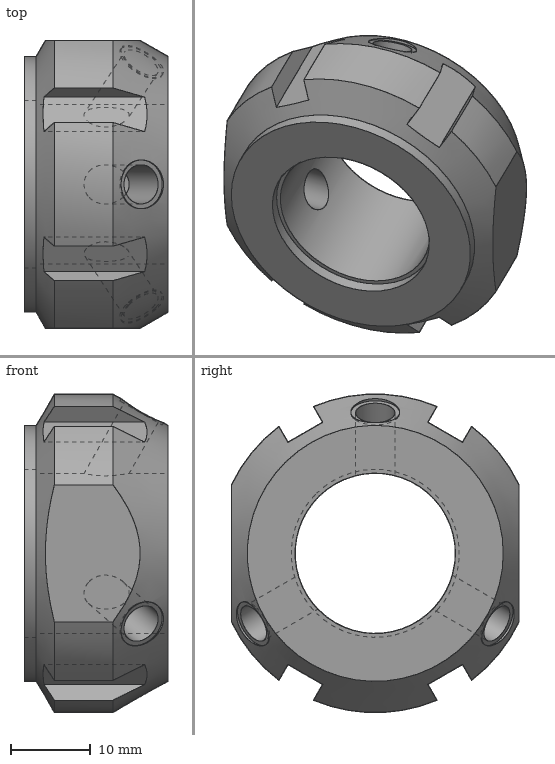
import cadquery as cq
import math

width = 18.0
collar_width = 1.48
rim_start = 3.75
rim_end = 11.1

outer_radius = 19.95
collar_radius = 32.0 / 2
flat_distance = 36.0

bore_diameter = 20.0
recess_diameter = 21.0
recess_depth = 1.48

slot_width = 5.0
slot_floor_radius = 17.5
slot_angles = (-30, 30, 150, 210)

screw_diameter = 4.9
screw_recess_diameter = 6.1
screw_recess_depth = 0.3
screw_x = 14.75
screw_count = 3
screw_length = 15.95

clearance = 4.0


def turned_body():
    """Revolve the collar, front cone, rim and rear cone about X."""
    return (
        cq.Workplane("XY")
        .polyline([
            (0, 0),
            (0, collar_radius),
            (collar_width, collar_radius),
            (rim_start, outer_radius),
            (rim_end, outer_radius),
            (width, collar_radius),
            (width, 0),
        ])
        .close()
        .revolve(360, (0, 0, 0), (1, 0, 0))
    )


def slot_cutter(angle):
    """Full-width slot above the floor, turned about X from +Z."""
    height = outer_radius + clearance - slot_floor_radius
    return (
        cq.Workplane("XY")
        .box(width, slot_width, height, centered=(False, True, False))
        .translate((0, 0, slot_floor_radius))
        .rotate((0, 0, 0), (1, 0, 0), angle)
    )


def screw_cutter(angle):
    """Recessed hole entering square to the rear cone and stopping in the bore."""
    cone_drop = outer_radius - collar_radius
    cone_length = width - rim_end
    cone_angle = math.atan2(cone_drop, cone_length)
    screw_z = outer_radius - (screw_x - rim_end) * cone_drop / cone_length
    outward = cq.Vector(math.sin(cone_angle), 0, math.cos(cone_angle))
    entry = cq.Vector(screw_x, 0, screw_z)

    def cylinder(diameter, depth):
        start = entry - outward * depth
        return cq.Solid.makeCylinder(diameter / 2, depth + clearance, start, outward)

    hole = cylinder(screw_diameter, screw_length)
    recess = cylinder(screw_recess_diameter, screw_recess_depth)
    cutter = cq.Workplane(obj=hole.fuse(recess))
    return cutter.rotate((0, 0, 0), (1, 0, 0), angle)


flats = cq.Workplane("XY").box(
    width, flat_distance, 2 * outer_radius + clearance, centered=(False, True, True)
)
result = turned_body().intersect(flats)

result = result.cut(cq.Workplane("YZ").circle(bore_diameter / 2).extrude(width))
result = result.cut(cq.Workplane("YZ").circle(recess_diameter / 2).extrude(recess_depth))

for slot_angle in slot_angles:
    result = result.cut(slot_cutter(slot_angle))

for index in range(screw_count):
    result = result.cut(screw_cutter(index * 360 / screw_count))